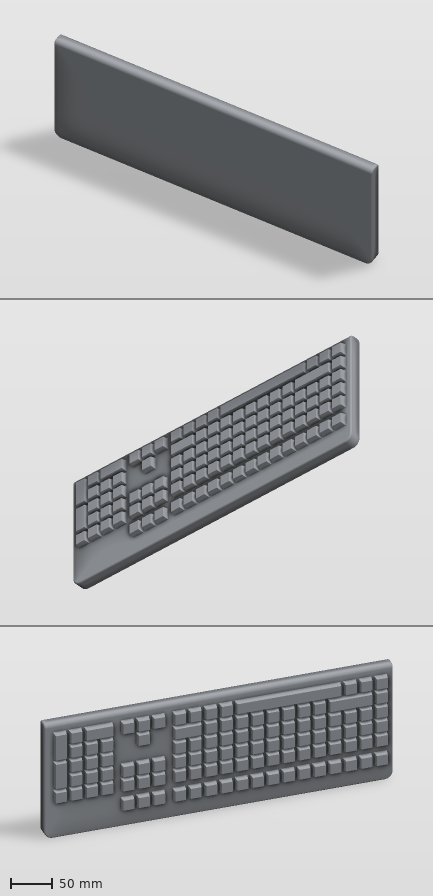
import cadquery as cq
import math

case_width = 450.0
case_height = 160.0
case_thickness = 17.0
long_edge_radius = 5.5
corner_radius = 11.0
rim_radius = 2.0

key_height = 8.0
key_base = 16.5
key_gap = 3.38
key_pitch = key_base + key_gap
key_inset = 1.5
key_taper = math.degrees(math.atan(key_inset / key_height))

block_step = 27.0
first_column_x = 16.5
first_row_z = 20.2
main_columns = 14
arrow_columns = 3
number_columns = 4
typing_rows = 5
arrow_column_x = first_column_x + (main_columns - 1) * key_pitch + block_step
number_column_x = arrow_column_x + (arrow_columns - 1) * key_pitch + block_step
function_row_z = first_row_z + (typing_rows - 1) * key_pitch + block_step

main_row_widths = [
    [1, 1, 1, 7, 1, 1, 1, 1],
    [1, 3] + [1] * 8 + [2],
    [1] * main_columns,
    [1] * main_columns,
    [1] * main_columns,
]


def make_case():
    """Slab with rounded long edges at +Z, rounded corners at -Z and a rounded rim."""
    slab = cq.Workplane("XY").box(case_width, case_thickness, case_height, centered=False)
    slab = slab.edges("|Y and <Z").fillet(corner_radius)
    slab = slab.edges("|X and >Z").fillet(long_edge_radius)
    return slab.edges("|X and <Z and <Y").fillet(rim_radius)


def make_key(first_x, first_z, columns=1, rows=1):
    """Tapered key whose first grid cell is centred at the given place."""
    base_width = key_base + (columns - 1) * key_pitch
    base_depth = key_base + (rows - 1) * key_pitch
    center_x = first_x + (columns - 1) * key_pitch / 2
    center_z = case_height - first_z - (rows - 1) * key_pitch / 2
    outline = cq.Workplane("XZ", origin=(center_x, case_thickness, center_z)).rect(base_width, base_depth)
    return outline.extrude(-key_height, taper=key_taper).val()


def make_row(first_x, row_z, widths):
    """Keys side by side along X, each as many columns wide as its entry."""
    keys = []
    column = 0
    for width in widths:
        keys.append(make_key(first_x + column * key_pitch, row_z, columns=width))
        column += width
    return keys


def make_main_block():
    """Five typing rows and the function row."""
    keys = make_row(first_column_x, function_row_z, [1] * main_columns)
    for row, widths in enumerate(main_row_widths):
        keys += make_row(first_column_x, first_row_z + row * key_pitch, widths)
    return keys


def make_arrow_block():
    """Arrow keys in an inverted T, two rows of editing keys and the function row."""
    middle_x = arrow_column_x + key_pitch
    keys = make_row(arrow_column_x, first_row_z, [1] * arrow_columns)
    keys.append(make_key(middle_x, first_row_z + key_pitch))
    for row in (3, 4):
        keys += make_row(arrow_column_x, first_row_z + row * key_pitch, [1] * arrow_columns)
    keys += make_row(arrow_column_x, function_row_z, [1] * arrow_columns)
    return keys


def make_number_block():
    """Number pad with a wide zero key and two keys that are two rows tall."""
    last_x = number_column_x + (number_columns - 1) * key_pitch
    keys = make_row(number_column_x, first_row_z, [2, 1])
    for row in (1, 2, 3):
        keys += make_row(number_column_x, first_row_z + row * key_pitch, [1] * (number_columns - 1))
    for row in (0, 2):
        keys.append(make_key(last_x, first_row_z + row * key_pitch, rows=2))
    keys += make_row(number_column_x, first_row_z + (typing_rows - 1) * key_pitch, [1] * number_columns)
    return keys


all_keys = make_main_block() + make_arrow_block() + make_number_block()
result = cq.Workplane("XY").newObject([make_case().val().fuse(*all_keys)])